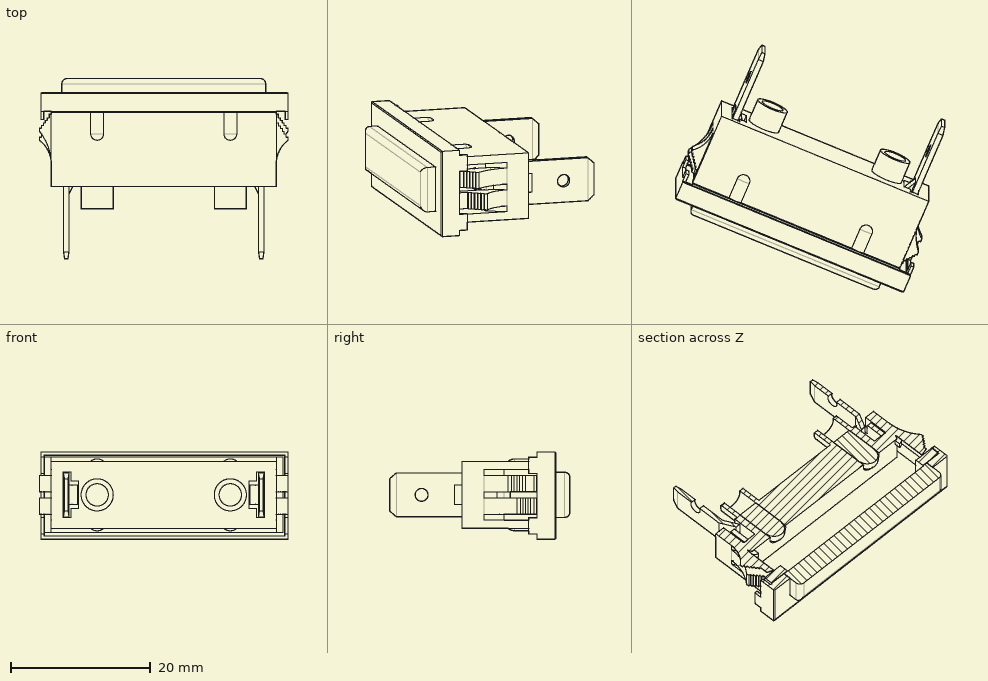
import cadquery as cq
import math


body_length = 32.2
body_height = 9.6
body_back = -10.75
step_height = 10.8
step_back = -0.12
flange_length = 34.15
flange_front = 1.5

lens_length = 29.2
lens_height = 6.5
lens_front = 4.73
lens_round = 0.8

bezel_length = 35.4
bezel_height = 12.5
bezel_front = 2.72
bezel_offset_x = 0.11
bezel_offset_z = -0.11
bezel_edge_chamfer = 0.15
bezel_mouth_wall = 0.45
bezel_mouth_depth = 0.3
bezel_wall = 0.5
tab_depth = 1.18
tab_inner_z = 3.14
tab_outer_z = 5.5

channel_height = 7.2
channel_floor = -4.7
opening_margin = 0.8

end_face = body_length / 2
latch_reach = 17.81
latch_root = -7.55
latch_top = -0.03
latch_shoulder = -0.4
latch_width = 2.37
latch_gap = 0.83
latch_thickness = 1.0
latch_rise = (latch_reach - end_face) / 6
latch_tip_flat = 0.45
short_latch_steps = 5
short_latch_start = -0.93
short_latch_pitch = 0.36
long_latch_steps = 6
long_latch_start = -1.66
long_latch_pitch = 0.40

relief_depth = 1.3
bridge_back = -5.73
bridge_radius = 0.9

axis_spacing = 19.05
boss_diameter = 4.6
boss_length = 3.2
lamp_diameter = 3.2
lamp_dome_top = -3.9
rib_radius = 1.4
rib_height = 0.35
rib_ball_y = -3.2

terminal_thickness = 0.8
terminal_outer_x = 14.35
terminal_width = 6.3
terminal_tip = -21.09
terminal_embed = 4.0
terminal_taper_length = 0.97
terminal_taper_width = 0.85
terminal_taper_thickness = 0.15
terminal_hole_diameter = 1.8
terminal_hole_y = -16.5
slot_side_clearance = 0.1
slot_inner_clearance = 0.3
lance_width = 2.75
lance_end = -11.8
lance_length = 2.3
lance_spread = 1.2
lance_pocket_height = 3.9
lance_pocket_clearance = 0.12

terminal_inner_x = terminal_outer_x - terminal_thickness
terminal_top = body_back + terminal_embed
axis_places = [-axis_spacing / 2, axis_spacing / 2]
end_turns = [0, 180]


def block(x_range, y_range, z_range):
    """Box between the given limits along each axis."""
    sizes = [high - low for low, high in (x_range, y_range, z_range)]
    corner = (x_range[0], y_range[0], z_range[0])
    return cq.Workplane("XY").box(*sizes, centered=False).translate(corner)


def centred_block(length, height, back, front):
    """Box centred on the Y axis."""
    return block((-length / 2, length / 2), (back, front), (-height / 2, height / 2))


def turn_about_y(shape, angle):
    return shape.rotate((0, 0, 0), (0, 1, 0), angle)


def rod(diameter, back, front, x):
    """Cylinder along Y."""
    circle = cq.Workplane("XZ", origin=(x, back, 0)).circle(diameter / 2)
    return circle.extrude(back - front)


def ball(radius, x, y, z):
    return cq.Workplane("XY").sphere(radius).translate((x, y, z))


def prism(points, z_mid, width):
    """Polygon in X and Y, extruded evenly about z_mid."""
    return cq.Workplane("XY", origin=(0, 0, z_mid)).polyline(points).close().extrude(width / 2, both=True)



def latch(steps, start, pitch, z_mid):
    """Arm at the +X end: a sloped top, a staircase out to the tip, an arc back to the end face."""
    inner_x = end_face - latch_thickness
    step_x = latch_reach - steps * latch_rise
    outline = cq.Workplane("XY", origin=(0, 0, z_mid)).moveTo(inner_x, latch_top)
    outline = outline.lineTo(step_x, latch_shoulder)
    for step in range(steps):
        step_y = start - step * pitch
        outline = outline.lineTo(step_x, step_y)
        step_x += latch_rise
        outline = outline.lineTo(step_x, step_y)
    tip_y = step_y - latch_tip_flat
    outline = outline.lineTo(latch_reach, tip_y)

    arc_x = latch_reach - end_face
    arc_y = tip_y - latch_root
    arc_radius = (arc_x**2 + arc_y**2) / (2 * arc_x)
    half_angle = math.asin(arc_y / arc_radius) / 2
    arc_middle = (
        end_face + arc_radius * (1 - math.cos(half_angle)),
        latch_root + arc_radius * math.sin(half_angle),
    )
    outline = outline.threePointArc(arc_middle, (end_face, latch_root))
    return outline.lineTo(inner_x, latch_root).close().extrude(latch_width / 2, both=True)


def latch_relief():
    """Sloped pocket at the +X end, from the channel floor out to the latch root."""
    points = [
        (end_face, latch_root),
        (end_face, channel_floor),
        (end_face - relief_depth, channel_floor),
    ]
    return prism(points, 0, channel_height)


def latch_bridge():
    """Flat-faced web with a rounded top, standing in the relief between the two latch roots."""
    slope = relief_depth / (channel_floor - latch_root)
    face_x = end_face - slope * (bridge_back - latch_root)
    back_x = face_x - bridge_radius
    outline = cq.Workplane("XY").moveTo(back_x, bridge_back).lineTo(face_x, bridge_back)
    outline = outline.lineTo(face_x, channel_floor)
    outline = outline.radiusArc((back_x, channel_floor + bridge_radius), -bridge_radius)
    return outline.close().extrude(latch_gap / 2, both=True)


def side_rib(x, side):
    """Shallow round rib with a ball end, on the +Z (side 1) or -Z (side -1) face."""
    z = side * (body_height / 2 + rib_height - rib_radius)
    bar = rod(2 * rib_radius, rib_ball_y, step_back, x).translate((0, 0, z))
    return bar.union(ball(rib_radius, x, rib_ball_y, z))


def terminal_slot():
    """Slot for the +X terminal with the wider pocket for its lance."""
    depth = (body_back, terminal_top)
    half_width = terminal_width / 2 + slot_side_clearance
    slot_x = (terminal_inner_x - slot_inner_clearance, terminal_outer_x + slot_side_clearance)
    slot = block(slot_x, depth, (-half_width, half_width))
    half_pocket = lance_pocket_height / 2
    pocket_x = terminal_inner_x - lance_spread - lance_pocket_clearance
    pocket = block((pocket_x, terminal_inner_x), depth, (-half_pocket, half_pocket))
    return slot.union(pocket)


def make_housing():
    housing = centred_block(body_length, body_height, body_back, 0)
    housing = housing.union(centred_block(body_length, step_height, step_back, 0))
    housing = housing.union(centred_block(flange_length, step_height, 0, flange_front))
    for x in axis_places:
        housing = housing.union(rod(boss_diameter, body_back - boss_length, body_back, x))
        for side in (-1, 1):
            housing = housing.union(side_rib(x, side))

    housing = housing.cut(centred_block(body_length, channel_height, channel_floor, 0))
    opening_length = lens_length - 2 * opening_margin
    opening_height = lens_height - 2 * opening_margin
    housing = housing.cut(centred_block(opening_length, opening_height, 0, flange_front))
    for x in axis_places:
        housing = housing.cut(rod(lamp_diameter, body_back - boss_length, channel_floor, x))

    latch_z = (latch_width + latch_gap) / 2
    short_latch = latch(short_latch_steps, short_latch_start, short_latch_pitch, -latch_z)
    long_latch = latch(long_latch_steps, long_latch_start, long_latch_pitch, latch_z)
    for angle in end_turns:
        for pocket in (latch_relief(), terminal_slot()):
            housing = housing.cut(turn_about_y(pocket, angle))
        for feature in (short_latch, long_latch, latch_bridge()):
            housing = housing.union(turn_about_y(feature, angle))
    return housing



def make_lens():
    lens = centred_block(lens_length, lens_height, flange_front, lens_front)
    return lens.faces(">Y").edges().fillet(lens_round)


def make_bezel():
    bezel = centred_block(bezel_length, bezel_height, 0, bezel_front)
    bezel = bezel.faces(">Y").edges().chamfer(bezel_edge_chamfer)
    recesses = [(bezel_mouth_wall, bezel_mouth_depth), (bezel_wall, flange_front)]
    for wall, depth in recesses:
        bezel = bezel.cut(centred_block(bezel_length - 2 * wall, bezel_height - 2 * wall, 0, depth))

    outer_x = bezel_length / 2
    tab_x = (outer_x - bezel_mouth_wall, outer_x)
    for z_range in ((tab_inner_z, tab_outer_z), (-tab_outer_z, -tab_inner_z)):
        tab = block(tab_x, (-tab_depth, bezel_mouth_depth), z_range)
        for angle in end_turns:
            bezel = bezel.union(turn_about_y(tab, angle))

    bezel = bezel.translate((bezel_offset_x, 0, bezel_offset_z))
    return bezel.cut(centred_block(lens_length, lens_height, flange_front, bezel_front))


def make_lamp(x):
    """Round lamp filling the housing bore, with a domed end in the channel."""
    radius = lamp_diameter / 2
    dome_y = lamp_dome_top - radius
    return rod(lamp_diameter, body_back, dome_y, x).union(ball(radius, x, dome_y, 0))



def make_terminal(angle):
    """Blade terminal, shaped at the +X end and turned to its place."""
    half_width = terminal_width / 2
    half_lance = lance_width / 2
    middle_x = (terminal_inner_x + terminal_outer_x) / 2
    taper_start = terminal_tip + terminal_taper_length

    blade_x = (terminal_inner_x, terminal_outer_x)
    blade = block(blade_x, (taper_start, terminal_top), (-half_width, half_width))
    tip_thickness = terminal_thickness - 2 * terminal_taper_thickness
    tip_width = terminal_width - 2 * terminal_taper_width
    tip = (
        cq.Workplane("XZ", origin=(middle_x, taper_start, 0))
        .rect(terminal_thickness, terminal_width)
        .workplane(offset=terminal_taper_length)
        .rect(tip_thickness, tip_width)
        .loft()
    )
    blade = blade.union(tip)

    hole = cq.Workplane("YZ").center(terminal_hole_y, 0).circle(terminal_hole_diameter / 2)
    blade = blade.cut(hole.extrude(terminal_outer_x))

    lance_top = lance_end + lance_length
    window = block(blade_x, (lance_end, lance_top), (-half_lance, half_lance))
    lance = prism(
        [
            (terminal_inner_x, lance_end),
            (terminal_outer_x, lance_end),
            (terminal_outer_x - lance_spread, lance_top),
            (terminal_inner_x - lance_spread, lance_top),
        ],
        0,
        lance_width,
    )
    return turn_about_y(blade.cut(window).union(lance), angle)


housing = make_housing()
lens = make_lens()
bezel = make_bezel()
lamps = [make_lamp(x) for x in axis_places]
terminals = [make_terminal(angle) for angle in end_turns]

result = cq.Compound.makeCompound(
    [
        housing.val(),
        lens.val(),
        bezel.val(),
        *[lamp.val() for lamp in lamps],
        *[terminal.val() for terminal in terminals],
    ]
)